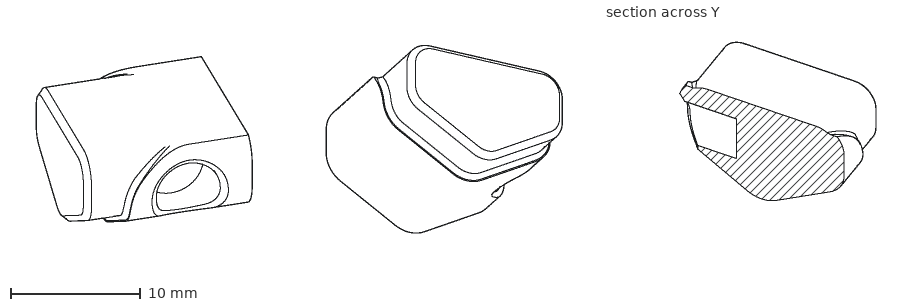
import cadquery as cq
import math

LENGTH = 13.3
CORE_HALF_WIDTH = 6.71
CORE_RADIUS = 2.0
SIDE_FLAT = 2.0
KEEL_ANGLE = math.radians(30)
NOSE_CHAMFER = 0.5

SLEEVE_THICKNESS = 0.5
SLEEVE_LENGTH = 9.81
SLEEVE_END_RADIUS = 5.0
STEP_CHAMFER = 0.4
BLEND_STEPS = 12
BLEND_ROOT = 0.2

HOLE_DIAMETER = 5.15
HOLE_DEPTH = 5.0
HOLE_FROM_REAR = 5.0
HOLE_BELOW_TOP = 4.0
HOLE_RIM_CHAMFER = 0.5

CORNER_X = CORE_HALF_WIDTH - CORE_RADIUS
UPPER_CENTRE_Z = -CORE_RADIUS
LOWER_CENTRE_Z = UPPER_CENTRE_Z - SIDE_FLAT
KEEL_CENTRE_Z = LOWER_CENTRE_Z - CORNER_X * math.tan(KEEL_ANGLE)
SLEEVE_RADIUS = CORE_RADIUS + SLEEVE_THICKNESS
SLEEVE_HALF_WIDTH = CORE_HALF_WIDTH + SLEEVE_THICKNESS
ARC_CENTRE_Y = SLEEVE_END_RADIUS - SLEEVE_LENGTH
ARC_CENTRE_Z = -SLEEVE_END_RADIUS
BLEND_ANGLE = math.asin((UPPER_CENTRE_Z - ARC_CENTRE_Z) / (SLEEVE_END_RADIUS + STEP_CHAMFER))
DEPTH = SLEEVE_RADIUS - KEEL_CENTRE_Z


def rounded_section(radius, length):
    """Prism whose five rounded corners share fixed centres, for any corner radius."""

    def on_corner(x, z, angle):
        return (x + radius * math.cos(angle), z + radius * math.sin(angle))

    def mirrored(point):
        return (-point[0], point[1])

    up = math.pi / 2
    keel_normal = KEEL_ANGLE - up
    top = on_corner(CORNER_X, UPPER_CENTRE_Z, up)
    upper_mid = on_corner(CORNER_X, UPPER_CENTRE_Z, up / 2)
    side_top = on_corner(CORNER_X, UPPER_CENTRE_Z, 0)
    side_bottom = on_corner(CORNER_X, LOWER_CENTRE_Z, 0)
    lower_mid = on_corner(CORNER_X, LOWER_CENTRE_Z, keel_normal / 2)
    slope_top = on_corner(CORNER_X, LOWER_CENTRE_Z, keel_normal)
    slope_bottom = on_corner(0, KEEL_CENTRE_Z, keel_normal)
    keel_tip = on_corner(0, KEEL_CENTRE_Z, -up)
    return (
        cq.Workplane("XZ")
        .moveTo(*top)
        .threePointArc(upper_mid, side_top)
        .lineTo(*side_bottom)
        .threePointArc(lower_mid, slope_top)
        .lineTo(*slope_bottom)
        .threePointArc(keel_tip, mirrored(slope_bottom))
        .lineTo(*mirrored(slope_top))
        .threePointArc(mirrored(lower_mid), mirrored(side_bottom))
        .lineTo(*mirrored(side_top))
        .threePointArc(mirrored(upper_mid), mirrored(top))
        .close()
        .extrude(length)
    )


def sleeve_envelope():
    """Side-on outline of the sleeve: flat top, rounded front end, straight below."""
    arc_rise = SLEEVE_END_RADIUS * math.sin(math.radians(45))
    return (
        cq.Workplane("YZ")
        .moveTo(0, 0)
        .lineTo(ARC_CENTRE_Y, 0)
        .threePointArc(
            (ARC_CENTRE_Y - arc_rise, ARC_CENTRE_Z + arc_rise),
            (-SLEEVE_LENGTH, ARC_CENTRE_Z),
        )
        .lineTo(-SLEEVE_LENGTH, -DEPTH)
        .lineTo(0, -DEPTH)
        .close()
        .extrude(SLEEVE_HALF_WIDTH, both=True)
    )


def side_hole():
    """Cylinder removed from the +X side."""
    floor_x = SLEEVE_HALF_WIDTH - HOLE_DEPTH
    return (
        cq.Workplane("YZ", origin=(floor_x, -HOLE_FROM_REAR, -HOLE_BELOW_TOP))
        .circle(HOLE_DIAMETER / 2)
        .extrude(HOLE_DEPTH)
    )


def chamfer_hole_rim(body):
    """Bevel the mouth of the side hole where it opens through the sleeve surface."""
    hole_radius = HOLE_DIAMETER / 2
    rim_point = (SLEEVE_HALF_WIDTH, -HOLE_FROM_REAR, hole_radius - HOLE_BELOW_TOP)
    rim = cq.selectors.NearestToPointSelector(rim_point)
    return body.edges(rim).chamfer(HOLE_RIM_CHAMFER)


def below_blend(body):
    """Piece of the body under the radial plane where the tapering corner blends begin."""
    far_y = ARC_CENTRE_Y - LENGTH
    return body.intersect(
        cq.Workplane("YZ")
        .moveTo(ARC_CENTRE_Y, ARC_CENTRE_Z)
        .lineTo(far_y, ARC_CENTRE_Z + LENGTH * math.tan(BLEND_ANGLE))
        .lineTo(far_y, -DEPTH)
        .lineTo(ARC_CENTRE_Y, -DEPTH)
        .close()
        .extrude(SLEEVE_HALF_WIDTH, both=True)
    )


def chamfered_step(body):
    """Lower piece of the body with the inside corner of the step filled by a chamfer.

    The chamfer runs from the keel up both sides along the tangent chain of edges.
    """
    keel_corner = (0, -SLEEVE_LENGTH, KEEL_CENTRE_Z - CORE_RADIUS)
    corner = cq.selectors.NearestToPointSelector(keel_corner)
    return below_blend(body.edges(corner).chamfer(STEP_CHAMFER))


def ball_centre(offset, angle):
    """Point lying `offset` outside both the +X core corner and the rounded sleeve end."""
    core_reach = CORE_RADIUS + offset
    arc_reach = SLEEVE_END_RADIUS + offset
    x = CORNER_X + core_reach * math.cos(angle)
    z = UPPER_CENTRE_Z + core_reach * math.sin(angle)
    setback = math.sqrt(max(arc_reach**2 - (z - ARC_CENTRE_Z) ** 2, 0))
    return cq.Vector(x, ARC_CENTRE_Y - setback, z)


def corner_blend():
    """Filler that carries the step chamfer over the +X upper corner, tapering to a point.

    A ball as large as the chamfer rolls along the inside corner. The sloped face is
    ruled between its contact lines, and the other faces are buried in the body.
    """
    core_line = []
    sleeve_line = []
    root_line = []
    for step in range(BLEND_STEPS + 1):
        angle = math.pi / 2 * step / BLEND_STEPS
        ball = ball_centre(STEP_CHAMFER, angle)
        core_axis = cq.Vector(CORNER_X, ball.y, UPPER_CENTRE_Z)
        arc_axis = cq.Vector(ball.x, ARC_CENTRE_Y, ARC_CENTRE_Z)
        to_core = (ball - core_axis).normalized()
        to_sleeve = (ball - arc_axis).normalized()
        core_line.append(core_axis + to_core * CORE_RADIUS)
        sleeve_line.append(arc_axis + to_sleeve * SLEEVE_END_RADIUS)
        root_line.append(ball_centre(-BLEND_ROOT, angle))

    core_edge = cq.Edge.makeSpline(core_line)
    sleeve_edge = cq.Edge.makeSpline(sleeve_line)
    root_edge = cq.Edge.makeSpline(root_line)
    base = cq.Wire.makePolygon([core_line[0], sleeve_line[0], root_line[0]], close=True)
    faces = [
        cq.Face.makeRuledSurface(core_edge, sleeve_edge),
        cq.Face.makeRuledSurface(sleeve_edge, root_edge),
        cq.Face.makeRuledSurface(root_edge, core_edge),
        cq.Face.makeFromWires(base),
    ]
    return cq.Workplane(cq.Solid.makeSolid(cq.Shell.makeShell(faces)).fix())


core = rounded_section(CORE_RADIUS, LENGTH).faces("<Y").chamfer(NOSE_CHAMFER)
sleeve = rounded_section(SLEEVE_RADIUS, LENGTH).intersect(sleeve_envelope())
body = core.union(sleeve)
blend = corner_blend()

filled = body.union(chamfered_step(body)).union(blend).union(blend.mirror("YZ"))
result = chamfer_hole_rim(filled.cut(side_hole()))